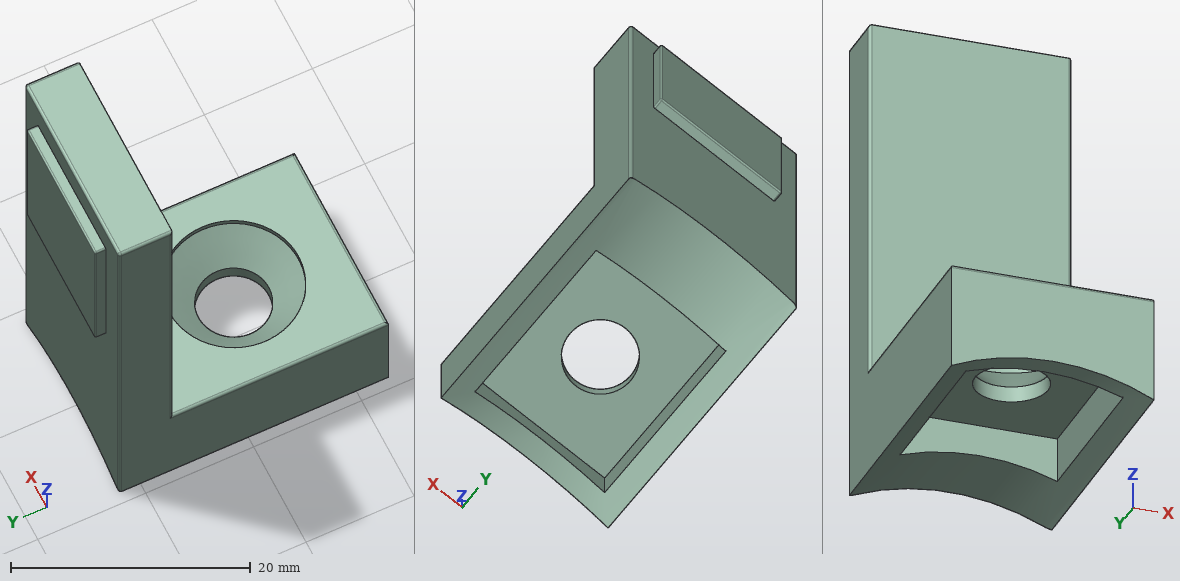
import cadquery as cq

width = 18.0
height = 42.0
depth = 25.0
wall_thickness = 5.0
foot_height = 9.5
edge_radius = 0.26

saddle_radius = 21.0

hole_from_front = 10.0
hole_diameter = 6.5
head_diameter = 12.0
head_recess = 0.5
cone_depth = (head_diameter - hole_diameter) / 2

pocket_wall = 2.0
pocket_floor_height = 4.85

pad_width = 13.02
pad_height = 15.0
pad_thickness = 1.0
pad_below_top = 3.0
pad_edge_radius = 0.145

front_y = -depth / 2
back_y = depth / 2
wall_front_y = back_y - wall_thickness


def make_blank():
    """L-shaped profile extruded across the width, centred on X = 0."""
    profile = [
        (front_y, 0),
        (back_y, 0),
        (back_y, height),
        (wall_front_y, height),
        (wall_front_y, foot_height),
        (front_y, foot_height),
    ]
    return cq.Workplane("YZ").polyline(profile).close().extrude(width / 2, both=True)


def round_edges(blank):
    """Round the back rim, the side edges of the wall and foot top, and the foot's front top edge."""
    back_rim = blank.faces(">Y").edges()
    wall_top_sides = blank.faces(">Z").edges("|Y")
    wall_center = (0, wall_front_y, (foot_height + height) / 2)
    wall_front = blank.faces(cq.selectors.NearestToPointSelector(wall_center))
    wall_front_sides = wall_front.edges("|Z")
    foot_center = (0, (front_y + wall_front_y) / 2, foot_height)
    foot_top = blank.faces(cq.selectors.NearestToPointSelector(foot_center))
    foot_rim = foot_top.edges("|Y or <Y")
    rounded = back_rim.add(wall_top_sides).add(wall_front_sides).add(foot_rim)
    return rounded.fillet(edge_radius)


def make_saddle():
    """Cylinder that meets the bottom edges of both sides of the foot."""
    axis_drop = (saddle_radius**2 - (width / 2) ** 2) ** 0.5
    return (
        cq.Workplane("XZ")
        .center(0, -axis_drop)
        .circle(saddle_radius)
        .extrude(depth, both=True)
    )


def make_screw_hole():
    """Head recess, cone and shank as one turned shape about the hole axis."""
    cone_top = foot_height - head_recess
    profile = [
        (0, 0),
        (hole_diameter / 2, 0),
        (hole_diameter / 2, cone_top - cone_depth),
        (head_diameter / 2, cone_top),
        (head_diameter / 2, foot_height),
        (0, foot_height),
    ]
    turned = cq.Workplane("XZ").polyline(profile).close().revolve(360, (0, 0), (0, 1))
    return turned.translate((0, front_y + hole_from_front, 0))


def make_pocket():
    """Rectangular pocket open below, leaving equal walls at the front and both sides."""
    pocket_width = width - 2 * pocket_wall
    pocket_length = 2 * (hole_from_front - pocket_wall)
    return (
        cq.Workplane("XY")
        .center(0, front_y + hole_from_front)
        .rect(pocket_width, pocket_length)
        .extrude(pocket_floor_height)
    )


def make_bracket():
    """Rounded blank with the saddle, screw hole and pocket removed."""
    bracket = round_edges(make_blank())
    for cutter in (make_saddle(), make_screw_hole(), make_pocket()):
        bracket = bracket.cut(cutter)
    return bracket


def make_pad():
    """Flat pad against the back of the wall, with rounded outer edges."""
    pad = cq.Workplane("XY").box(pad_width, pad_thickness, pad_height)
    pad = pad.edges("|Y or >Y").fillet(pad_edge_radius)
    center_y = back_y + pad_thickness / 2
    center_z = height - pad_below_top - pad_height / 2
    return pad.translate((0, center_y, center_z))


bracket = make_bracket()
pad = make_pad()

result = cq.Compound.makeCompound([bracket.val(), pad.val()])